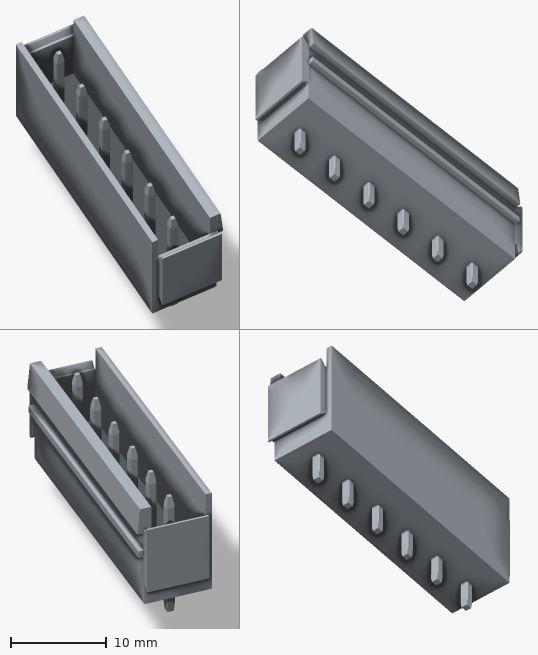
import cadquery as cq


pin_count = 6
pin_pitch = 5.0
housing_length = pin_count * pin_pitch
housing_height = 12.0
front_wall_thickness = 0.7
back_wall_inner_y = 6.85
back_wall_outer_y = 7.63
floor_thickness = 3.0

latch_bottom_y = 8.43
latch_top_y = 8.12
latch_height = 3.1

rib_outer_y = 8.3
rib_bottom_z = 5.95
rib_height = 0.8

end_plate_thickness = 1.0
end_plate_back_y = 7.73
end_plate_bottom_z = 2.1
end_plate_top_z = 9.9
dovetail_neck_length = 0.3
dovetail_rim_thickness = 0.25
dovetail_step = 0.55

pin_width = 0.98
pin_corner_chamfer = 0.15
pin_y = 3.78
pin_bottom_z = -3.2
pin_top_z = 11.1
pin_length = pin_top_z - pin_bottom_z
lower_taper_length = 1.0
lower_tip_width = 0.7
upper_taper_length = 1.3
upper_tip_width = 0.45

pin_positions = [
    ((index - (pin_count - 1) / 2) * pin_pitch, pin_y)
    for index in range(pin_count)
]


def make_trough():
    """Open-ended channel with its latch and rib, extruded along X."""
    latch_bottom_z = housing_height - latch_height
    rib_top_z = rib_bottom_z + rib_height
    profile = [
        (0, 0),
        (back_wall_outer_y, 0),
        (back_wall_outer_y, rib_bottom_z),
        (rib_outer_y, rib_bottom_z),
        (rib_outer_y, rib_top_z),
        (back_wall_outer_y, rib_top_z),
        (back_wall_outer_y, latch_bottom_z),
        (latch_bottom_y, latch_bottom_z),
        (latch_top_y, housing_height),
        (back_wall_inner_y, housing_height),
        (back_wall_inner_y, floor_thickness),
        (front_wall_thickness, floor_thickness),
        (front_wall_thickness, housing_height),
        (0, housing_height),
    ]
    return cq.Workplane("YZ").polyline(profile).close().extrude(housing_length / 2, both=True)


def make_end_plate():
    """Dovetail plate on the +X end: a narrow neck that flares out to a taller rim."""
    inner_x = housing_length / 2
    outer_x = inner_x + end_plate_thickness
    neck_x = inner_x + dovetail_neck_length
    rim_x = outer_x - dovetail_rim_thickness
    neck_bottom_z = end_plate_bottom_z + dovetail_step
    neck_top_z = end_plate_top_z - dovetail_step
    profile = [
        (inner_x, neck_bottom_z),
        (neck_x, neck_bottom_z),
        (rim_x, end_plate_bottom_z),
        (outer_x, end_plate_bottom_z),
        (outer_x, end_plate_top_z),
        (rim_x, end_plate_top_z),
        (neck_x, neck_top_z),
        (inner_x, neck_top_z),
    ]
    return (
        cq.Workplane("XZ", origin=(0, front_wall_thickness, 0))
        .polyline(profile)
        .close()
        .extrude(-(end_plate_back_y - front_wall_thickness))
    )


def make_pin_bar():
    """Square bar with chamfered long edges, centred on the Z axis."""
    return (
        cq.Workplane("XY", origin=(0, 0, pin_bottom_z))
        .rect(pin_width, pin_width)
        .extrude(pin_length)
        .edges("|Z")
        .chamfer(pin_corner_chamfer)
    )


def make_pin_envelope():
    """Square envelope of the pin: tapered foot, straight shank and tapered tip."""
    half_width = pin_width / 2
    half_lower_tip = lower_tip_width / 2
    half_upper_tip = upper_tip_width / 2
    shank_bottom_z = pin_bottom_z + lower_taper_length
    shank_top_z = pin_top_z - upper_taper_length
    profile = [
        (-half_lower_tip, pin_bottom_z),
        (half_lower_tip, pin_bottom_z),
        (half_width, shank_bottom_z),
        (half_width, shank_top_z),
        (half_upper_tip, pin_top_z),
        (-half_upper_tip, pin_top_z),
        (-half_width, shank_top_z),
        (-half_width, shank_bottom_z),
    ]
    across_x = cq.Workplane("XZ").polyline(profile).close().extrude(half_width, both=True)
    across_y = cq.Workplane("YZ").polyline(profile).close().extrude(half_width, both=True)
    return across_x.intersect(across_y)


def make_pin(x, y):
    return make_pin_bar().intersect(make_pin_envelope()).translate((x, y, 0))


def make_housing():
    """Trough with both end plates and a fitted hole through the floor for every pin."""
    end_plate = make_end_plate()
    body = make_trough().union(end_plate).union(end_plate.mirror("YZ"))
    pin_holes = (
        cq.Workplane("XY")
        .pushPoints(pin_positions)
        .rect(pin_width, pin_width)
        .extrude(floor_thickness)
        .edges("|Z")
        .chamfer(pin_corner_chamfer)
    )
    return body.cut(pin_holes)


housing = make_housing()
pins = [make_pin(x, y) for x, y in pin_positions]

result = cq.Compound.makeCompound([housing.val(), *[pin.val() for pin in pins]])